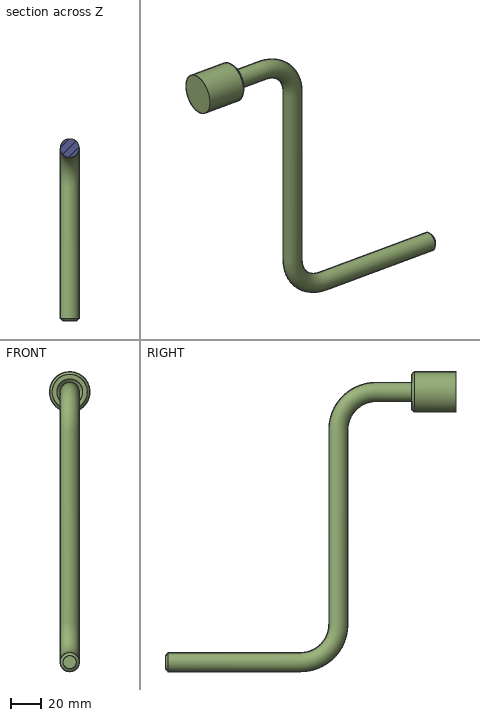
import cadquery as cq

total_height = 197.2
total_length = 190.9

rod_diameter = 12.6
bend_radius = 24.8
shank_offset = 77.3
tip_chamfer_length = 1.8
tip_chamfer_inset = 2.0

sleeve_diameter = 26.6
sleeve_length = 29.2
sleeve_chamfer = 1.8
countersink_diameter = 17.0

rod_radius = rod_diameter / 2
sleeve_radius = sleeve_diameter / 2
lower_axis_z = sleeve_radius + rod_radius - total_height
countersink_radius = countersink_diameter / 2
countersink_depth = countersink_radius - rod_radius


def make_rod():
    """Crank rod: two horizontal legs joined to an upright by round bends."""
    path = (
        cq.Workplane("YZ")
        .lineTo(-(shank_offset - bend_radius), 0)
        .radiusArc((-shank_offset, -bend_radius), -bend_radius)
        .lineTo(-shank_offset, lower_axis_z + bend_radius)
        .radiusArc((-(shank_offset + bend_radius), lower_axis_z), bend_radius)
        .lineTo(-total_length, lower_axis_z)
    )
    rod = cq.Workplane("XZ").circle(rod_radius).sweep(path)
    return rod.faces("<Y").chamfer(tip_chamfer_length, tip_chamfer_inset)


def make_sleeve():
    """Round sleeve with a chamfered front rim and a countersink around the rod."""
    front = -sleeve_length
    return (
        cq.Workplane("XY")
        .lineTo(sleeve_radius, 0)
        .lineTo(sleeve_radius, front + sleeve_chamfer)
        .lineTo(sleeve_radius - sleeve_chamfer, front)
        .lineTo(countersink_radius, front)
        .lineTo(rod_radius, front + countersink_depth)
        .lineTo(0, front + countersink_depth)
        .close()
        .revolve(360, (0, 0, 0), (0, 1, 0))
    )


result = make_rod().union(make_sleeve())